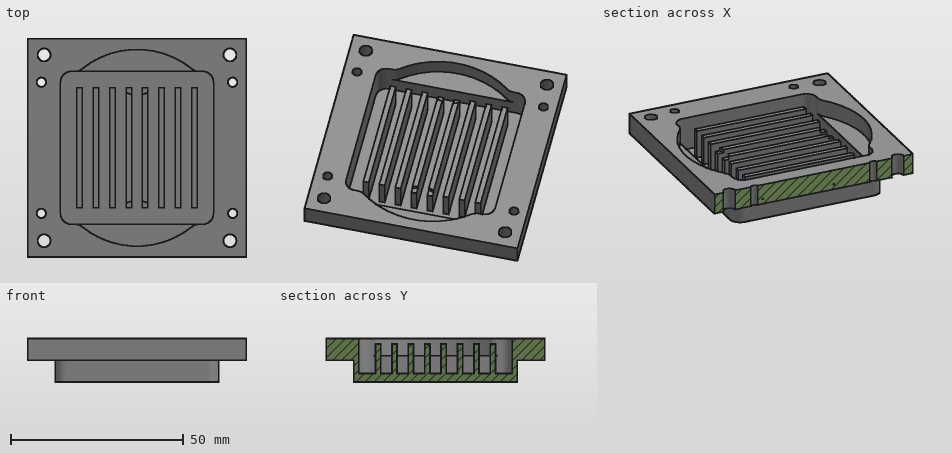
import cadquery as cq
import math

plate_side = 63.5
plate_thickness = 6.35
boss_height = 6.35
total_height = plate_thickness + boss_height

wall = 1.5875
pocket_side = 44.45
boss_side = pocket_side + 2 * wall
corner_radius = 3.175
floor_thickness = 2.54

recess_radius = 25.4
recess_reach = 28.575
flare_radius = 3.175
recess_depth = 5.08

fin_count = 8
fin_pitch = 4.7625
fin_thickness = 1.5875
fin_length = 34.925
fin_drop = 1.5875
fin_top = total_height - fin_drop

relief_radius = 6.9
relief_depth = 0.9525
relief_offset = pocket_side / 2

large_hole_diameter = 3.68
large_hole_spacing = 53.975
small_hole_diameter = 2.64
small_hole_spacing_x = 55.5625
small_hole_spacing_y = 38.1


def rounded_block(side, bottom, top):
    """Square block with rounded vertical edges, centred on the Z axis."""
    block = cq.Workplane("XY").workplane(offset=bottom).rect(side, side).extrude(top - bottom)
    return block.edges("|Z").fillet(corner_radius)


def cylinder(radius, bottom, top, y):
    """Vertical cylinder whose axis crosses the Y axis at y."""
    base = cq.Workplane("XY").workplane(offset=bottom).center(0, y)
    return base.circle(radius).extrude(top - bottom)


def corner_holes(spacing_x, spacing_y, diameter):
    """Four vertical cutters at the corners of a rectangle."""
    corners = cq.Workplane("XY").rect(spacing_x, spacing_y, forConstruction=True).vertices()
    return corners.circle(diameter / 2).extrude(total_height)


def arc_recess():
    """Cutter for the +Y recess: a circular arc that flares into the pocket wall at both ends."""
    wall_y = pocket_side / 2
    centre_y = recess_reach - recess_radius
    flare_rise = wall_y + flare_radius - centre_y
    flare_x = math.sqrt((recess_radius + flare_radius) ** 2 - flare_rise**2)
    tangent_share = recess_radius / (recess_radius + flare_radius)
    tangent_x = flare_x * tangent_share
    tangent_y = centre_y + flare_rise * tangent_share
    outline = (
        cq.Workplane("XY")
        .workplane(offset=total_height - recess_depth)
        .moveTo(-flare_x, wall_y)
        .radiusArc((-tangent_x, tangent_y), -flare_radius)
        .threePointArc((0, recess_reach), (tangent_x, tangent_y))
        .radiusArc((flare_x, wall_y), -flare_radius)
        .close()
    )
    return outline.extrude(recess_depth)


def housing():
    """Plate and tub, opened from above by the pocket and the two arc recesses."""
    plate = cq.Workplane("XY").workplane(offset=boss_height).rect(plate_side, plate_side)
    body = plate.extrude(plate_thickness).union(rounded_block(boss_side, 0, total_height))
    body = body.cut(rounded_block(pocket_side, floor_thickness, total_height))
    recess = arc_recess()
    return body.cut(recess).cut(recess.mirror("XZ"))


def fins():
    """Row of parallel fins with the relief cut into the middle ones."""
    row = cq.Workplane("XY").workplane(offset=floor_thickness).rarray(fin_pitch, 1, fin_count, 1)
    row = row.rect(fin_thickness, fin_length).extrude(fin_top - floor_thickness)
    for side in (-1, 1):
        row = row.cut(cylinder(relief_radius, fin_top - relief_depth, fin_top, side * relief_offset))
    return row


result = housing().union(fins())
result = result.cut(corner_holes(large_hole_spacing, large_hole_spacing, large_hole_diameter))
result = result.cut(corner_holes(small_hole_spacing_x, small_hole_spacing_y, small_hole_diameter))